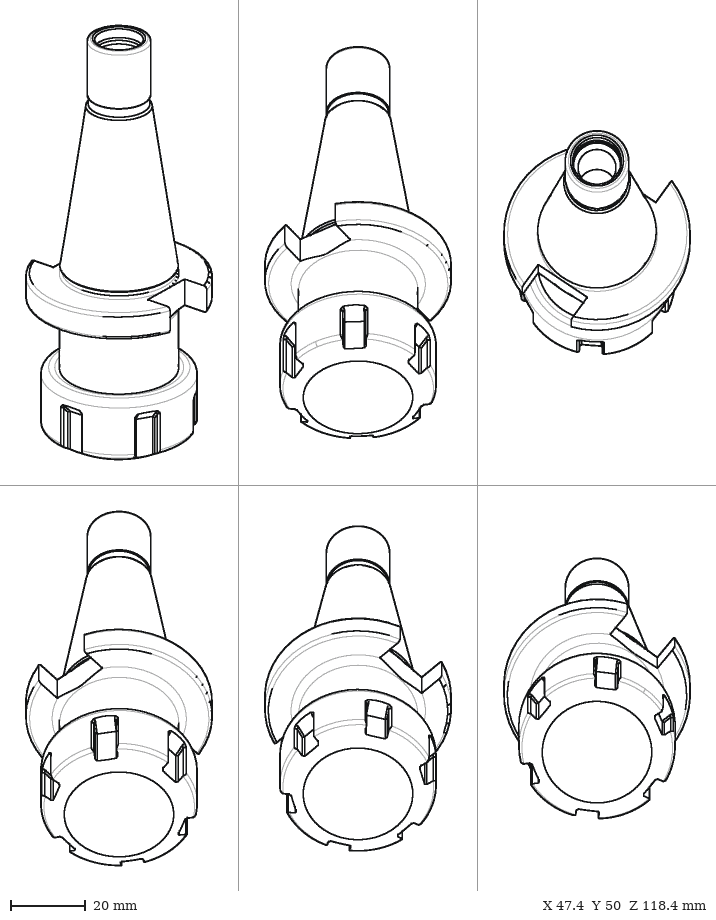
import cadquery as cq
import math


nut_radius = 21.0
nut_height = 20.5
nut_top_fillet = 2.0
nut_mouth_radius = 17.3
nut_dish_depth = 0.4
nut_nose_radius = 14.7
nut_nose_angle = 30
nut_nose_fillet = 1.5
nut_nose_height = (nut_radius - nut_nose_radius) * math.tan(math.radians(nut_nose_angle))

slot_count = 6
slot_floor_radius = 17.8
slot_half_width = 3.1
slot_chamfer = 0.5
slot_flare = 0.6
slot_slope_angle = 45
slot_flare_depth = 2.4
slot_roof_high = 13.3
slot_roof_low = 11.4
slot_reach = 4.7

body_radius = 16.0
flange_radius = 25.0
flange_bottom = 40.6
flange_top = 48.4
flange_fillet = 1.0
neck_fillet = 2.0
drive_flat = 16.1
drive_width = 16.0

taper_bottom = 50.7
taper_bottom_radius = 15.9
taper_top = 98.3
taper_slope = 7 / 48
taper_top_radius = taper_bottom_radius - taper_slope * (taper_top - taper_bottom)
base_groove_radius = 15.4
base_groove_fillet = 0.7
pilot_radius = 8.5
pilot_bottom = 101.6
pilot_groove_radius = 8.3
total_height = 118.4
pilot_fillet = 0.8

hole_rim_radius = 7.1
counterbore_radius = 6.5
hole_rim_chamfer = 0.4
counterbore_depth = 3.0
throat_radius = 6.3
throat_top_depth = 3.7
throat_bottom_depth = 4.7
drill_radius = 5.1
sink_bottom_depth = 6.9
drill_depth = 26.0
drill_tip_half_angle = 60

match_tolerance = 0.01


def round_edge(solid, radius, height, fillet):
    """Fillet the circular edge of this radius at this height on the Z axis."""
    rims = [
        edge
        for edge in solid.edges("%CIRCLE").vals()
        if math.isclose(edge.radius(), radius, abs_tol=match_tolerance)
        and math.isclose(edge.Center().z, height, abs_tol=match_tolerance)
    ]
    return solid.newObject(rims).fillet(fillet)


def make_blank():
    """Revolve the whole outer outline about Z, then round the nut and flange edges."""
    base_chamfer = taper_bottom_radius - base_groove_radius
    collar_step = taper_top_radius - pilot_groove_radius
    pilot_step = pilot_radius - pilot_groove_radius
    arc_offset = 1 - math.sqrt(0.5)
    outline = (
        cq.Workplane("XZ")
        .moveTo(0, 0)
        .lineTo(nut_nose_radius, 0)
        .lineTo(nut_radius, nut_nose_height)
        .lineTo(nut_radius, nut_height)
        .lineTo(nut_mouth_radius, nut_height)
        .lineTo(body_radius, nut_height - nut_dish_depth)
        .lineTo(body_radius, flange_bottom - neck_fillet)
        .threePointArc(
            (body_radius + neck_fillet * arc_offset, flange_bottom - neck_fillet * arc_offset),
            (body_radius + neck_fillet, flange_bottom),
        )
        .lineTo(flange_radius, flange_bottom)
        .lineTo(flange_radius, flange_top)
        .lineTo(base_groove_radius + base_groove_fillet, flange_top)
        .threePointArc(
            (
                base_groove_radius + base_groove_fillet * arc_offset,
                flange_top + base_groove_fillet * arc_offset,
            ),
            (base_groove_radius, flange_top + base_groove_fillet),
        )
        .lineTo(base_groove_radius, taper_bottom - base_chamfer)
        .lineTo(taper_bottom_radius, taper_bottom)
        .lineTo(taper_top_radius, taper_top)
        .lineTo(pilot_groove_radius, taper_top + collar_step)
        .lineTo(pilot_groove_radius, pilot_bottom - pilot_step)
        .lineTo(pilot_radius, pilot_bottom)
        .lineTo(pilot_radius, total_height)
        .lineTo(0, total_height)
        .close()
    )
    blank = outline.revolve(360, (0, 0, 0), (0, 1, 0))

    blank = round_edge(blank, nut_radius, nut_nose_height, nut_nose_fillet)
    blank = round_edge(blank, nut_radius, nut_height, nut_top_fillet)
    blank = round_edge(blank, flange_radius, flange_bottom, flange_fillet)
    blank = round_edge(blank, flange_radius, flange_top, flange_fillet)
    return round_edge(blank, pilot_radius, total_height, pilot_fillet)


def make_centre_hole():
    """Cutter for the rim chamfer, counterbore, throat, countersink and drilled hole."""
    tip_height = drill_radius / math.tan(math.radians(drill_tip_half_angle))
    return (
        cq.Workplane("XZ")
        .moveTo(0, total_height)
        .lineTo(hole_rim_radius, total_height)
        .lineTo(counterbore_radius, total_height - hole_rim_chamfer)
        .lineTo(counterbore_radius, total_height - counterbore_depth)
        .lineTo(throat_radius, total_height - throat_top_depth)
        .lineTo(throat_radius, total_height - throat_bottom_depth)
        .lineTo(drill_radius, total_height - sink_bottom_depth)
        .lineTo(drill_radius, total_height - drill_depth)
        .lineTo(0, total_height - drill_depth - tip_height)
        .close()
        .revolve(360, (0, 0, 0), (0, 1, 0))
    )


def make_drive_slots():
    """Two cutters that open the flange on the -X and +X sides, neck fillet included."""
    bottom = flange_bottom - neck_fillet
    depth = flange_radius - drive_flat
    slot = cq.Workplane("XY").box(
        depth, drive_width, flange_top - bottom, centered=(False, True, False)
    )
    slot = slot.translate((drive_flat, 0, bottom))
    return slot.union(slot.mirror("YZ"))


def make_spanner_slot(roof_height):
    """Cutter for one slot on the -Y side; its roof climbs outward."""
    slope = math.tan(math.radians(slot_slope_angle))
    mouth_half_width = slot_half_width + slot_flare
    mouth_radius = math.sqrt(nut_radius**2 - mouth_half_width**2)
    flare_start = mouth_radius - slot_flare / slope
    pocket = (
        cq.Workplane("YZ")
        .moveTo(-slot_floor_radius, 0)
        .lineTo(-slot_floor_radius, roof_height)
        .lineTo(-slot_floor_radius - slot_reach, roof_height + slot_reach * slope)
        .lineTo(-slot_floor_radius - slot_reach, 0)
        .close()
        .extrude(slot_half_width, both=True)
    )
    pocket = pocket.faces("<X or >X").edges(">Y or >Z").chamfer(slot_chamfer)

    flare_roof = roof_height + (flare_start - slot_floor_radius) * slope
    flare_profile = cq.Sketch().rect(2 * slot_half_width, 2 * flare_roof).vertices().chamfer(slot_chamfer)
    flare = (
        cq.Workplane("XZ", origin=(0, -flare_start, 0))
        .placeSketch(flare_profile)
        .extrude(slot_flare_depth, taper=-slot_slope_angle)
    )
    return pocket.union(flare)


result = make_blank().cut(make_centre_hole()).cut(make_drive_slots())

for index in range(slot_count):
    angle = index * 360 / slot_count
    faces_back = math.cos(math.radians(angle)) < 0
    roof = slot_roof_low if faces_back else slot_roof_high
    slot = make_spanner_slot(roof).rotate((0, 0, 0), (0, 0, 1), angle)
    result = result.cut(slot)